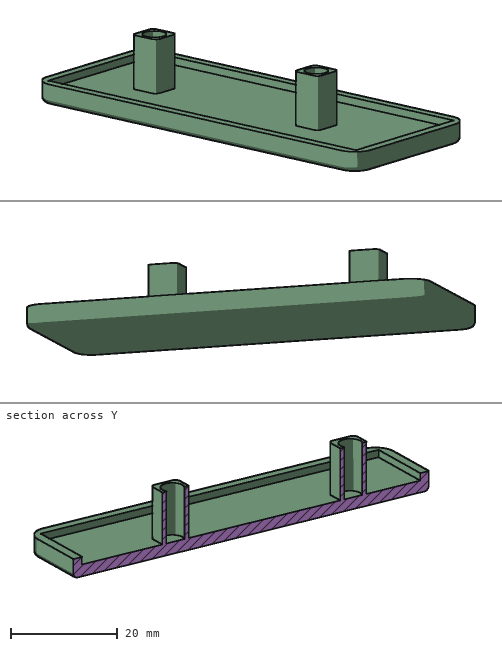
import cadquery as cq

plate_length = 80.0
plate_width = 32.0
plate_height = 4.0
plate_corner_radius = 4.0
bottom_edge_radius = 1.0

rim_width = 2.0
floor_thickness = 2.5
recess_length = plate_length - 2 * rim_width
recess_width = plate_width - 2 * rim_width

total_height = 13.0
post_size = 6.0
post_corner_radius = 1.0
post_height = total_height - floor_thickness
post_spacing = 40.0
post_pair_center_x = -3.0
post_center_y = -1.0
bore_diameter = 4.5
bore_depth = post_height


def make_tray():
    """Rounded plate, underside at Z = 0, with a rectangular recess in its top."""
    plate = (
        cq.Workplane("XY")
        .box(plate_length, plate_width, plate_height, centered=(True, True, False))
        .edges("|Z")
        .fillet(plate_corner_radius)
        .faces("<Z")
        .edges()
        .fillet(bottom_edge_radius)
    )
    recess = (
        cq.Workplane("XY", origin=(0, 0, floor_thickness))
        .rect(recess_length, recess_width)
        .extrude(plate_height - floor_thickness)
    )
    return plate.cut(recess)


def make_post(center_x):
    """Square post with rounded corners and a round bore opening at its top."""
    base = cq.Workplane("XY", origin=(center_x, post_center_y, floor_thickness))
    post = (
        base.rect(post_size, post_size)
        .extrude(post_height)
        .edges("|Z")
        .fillet(post_corner_radius)
    )
    return post.faces(">Z").workplane(origin=(center_x, post_center_y, 0)).hole(bore_diameter, bore_depth)


result = make_tray()
for side in (-1, 1):
    result = result.union(make_post(post_pair_center_x + side * post_spacing / 2))